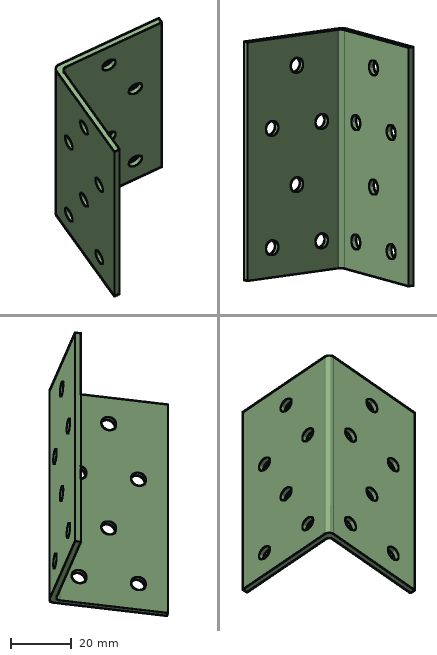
import cadquery as cq

height = 80.0
leg = 40.0
thickness = 2.0
outer_bend_radius = thickness
inner_bend_radius = 1.5
hole_diameter = 5.0

row_count = 4
row_pitch = height / row_count
first_row = row_pitch / 2
pair_spacing = leg / 2


def angle_profile():
    """L-shaped section extruded upwards, with a rounded bend along the corner."""
    body = (
        cq.Workplane("XY")
        .polyline([
            (0, 0),
            (leg, 0),
            (leg, thickness),
            (thickness, thickness),
            (thickness, leg),
            (0, leg),
        ])
        .close()
        .extrude(height)
    )
    middle = height / 2
    outer_corner = cq.selectors.NearestToPointSelector((0, 0, middle))
    body = body.edges(outer_corner).fillet(outer_bend_radius)
    inner_corner = cq.selectors.NearestToPointSelector((thickness, thickness, middle))
    return body.edges(inner_corner).fillet(inner_bend_radius)


def hole_positions():
    """Hole centres as (distance along the leg, height)."""
    centre = leg / 2
    positions = []
    for row in range(row_count):
        z = first_row + row * row_pitch
        if row % 2 == 0:
            positions.append((centre - pair_spacing / 2, z))
            positions.append((centre + pair_spacing / 2, z))
        else:
            positions.append((centre, z))
    return positions


def hole_cutters(plane, depth):
    """Round cutters running from the outer face of a leg through its thickness."""
    return cq.Workplane(plane).pushPoints(hole_positions()).circle(hole_diameter / 2).extrude(depth)


result = angle_profile()
result = result.cut(hole_cutters("XZ", -thickness))
result = result.cut(hole_cutters("YZ", thickness))